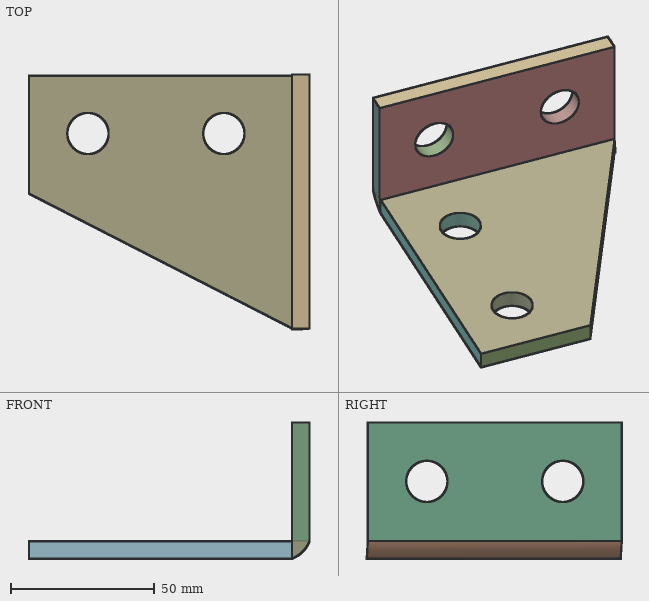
import cadquery as cq

length = 98.1
height = 47.7
thickness = 6.2
wall_width = 88.8
bend_skew = 0.4
bend_radius = 10.8

hole_diameter = 14.3
hole_spacing = 47.5

wall_x = length - thickness
wall_height = height - thickness
edge_distance = (wall_width - hole_spacing) / 2
free_end_width = 2 * edge_distance
hole_row_y = -edge_distance
hole_row_z = height - edge_distance


def make_base():
    """Horizontal flange, tapering from the wall to its narrow free end."""
    outline = [
        (0, -bend_skew),
        (wall_x, -bend_skew),
        (wall_x, -wall_width),
        (0, -bend_skew - free_end_width),
    ]
    base = cq.Workplane("XY").polyline(outline).close().extrude(thickness)
    hole_places = [(edge_distance + i * hole_spacing, hole_row_y) for i in range(2)]
    holes = cq.Workplane("XY").pushPoints(hole_places).circle(hole_diameter / 2).extrude(thickness)
    return base.cut(holes)


def make_wall():
    """Upright rectangular flange with two holes through it."""
    wall = cq.Workplane("XY").box(thickness, wall_width, wall_height, centered=False)
    wall = wall.translate((wall_x, -wall_width, thickness))
    hole_places = [(-edge_distance - i * hole_spacing, hole_row_z) for i in range(2)]
    holes = (
        cq.Workplane("YZ", origin=(wall_x, 0, 0))
        .pushPoints(hole_places)
        .circle(hole_diameter / 2)
        .extrude(thickness)
    )
    return wall.cut(holes)


def make_bend():
    """Rounded corner joining the flanges, with both end faces slightly tilted."""
    rounded = (
        cq.Workplane("XZ", origin=(0, bend_skew, 0))
        .moveTo(wall_x, thickness)
        .lineTo(wall_x, 0)
        .radiusArc((length, thickness), -bend_radius)
        .close()
        .extrude(wall_width + 3 * bend_skew)
    )
    tilted_ends = [
        (0, thickness),
        (-wall_width, thickness),
        (-wall_width - bend_skew, 0),
        (-bend_skew, 0),
    ]
    envelope = cq.Workplane("YZ", origin=(wall_x, 0, 0)).polyline(tilted_ends).close().extrude(thickness)
    return rounded.intersect(envelope)


result = make_base().union(make_wall()).union(make_bend())